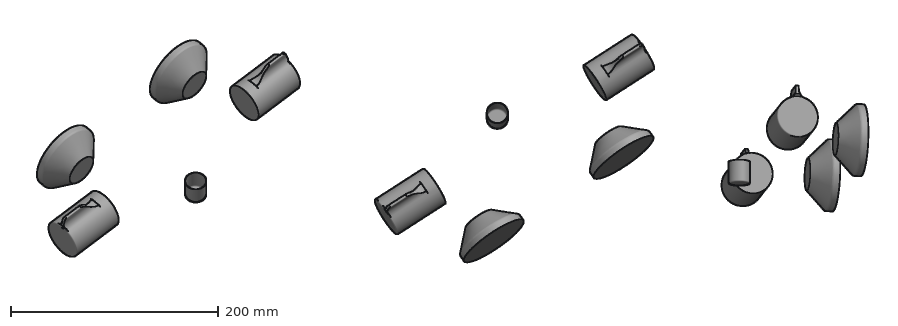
import cadquery as cq
import math

DISC_RADIUS = 35.0
DISC_NOSE_RADIUS = 15.8
DISC_DEPTH = 26.0
DISC_EDGE_ROUND = 2.7
DISC_OFFSET_Y = 75.5
DISC_CONE_START = DISC_DEPTH - (DISC_RADIUS - DISC_NOSE_RADIUS)

HANDLE_RADIUS = 20.18
HANDLE_LENGTH = 56.2
HANDLE_OUTER_Y = 149.5
HANDLE_X = 77.0
HANDLE_Z = 3.3
HANDLE_END_ROUND = 1.2

FIN_TOP_Z = DISC_RADIUS
FIN_HALF_THICKNESS = 1.5
FIN_CREST_ROUND = 1.0
FIN_ROOT_ROUND = 8.0
FIN_INNER_Y = 105.3
FIN_SLOPE_FOOT_Y = 114.5
FIN_SLOPE_FOOT_Z = 26.3
FIN_SLOPE_FOOT_DIRECTION = (1, 0)
FIN_SLOPE_TOP_DIRECTION = (1, 0.5)
FIN_CREST_INNER_Y = 126.0
FIN_CREST_OUTER_Y = 144.5
FIN_SHOULDER_Y = 148.0
FIN_SHOULDER_Z = 31.7
FIN_HEEL_Z = 25.7
FIN_OUTER_ROOT_Y = HANDLE_OUTER_Y - HANDLE_END_ROUND
FIN_BOTTOM_Z = HANDLE_Z + HANDLE_RADIUS / 2

CUP_RADIUS = 10.5
CUP_X = 106.8
CUP_TOP_Z = -8.7
CUP_HEIGHT = 21.5
CUP_WALL = 0.45
CUP_OUTER_ROUND = 1.2
CUP_INNER_ROUND = 1.5


def make_disc(center_y):
    """Short cylinder that narrows in a cone toward +X, with a rounded rim between them."""
    disc = (
        cq.Workplane("XY")
        .polyline([
            (0, 0),
            (0, DISC_RADIUS),
            (DISC_CONE_START, DISC_RADIUS),
            (DISC_DEPTH, DISC_NOSE_RADIUS),
            (DISC_DEPTH, 0),
        ])
        .close()
        .revolve(360, (0, 0, 0), (1, 0, 0))
    )
    rim_finder = cq.selectors.NearestToPointSelector((DISC_CONE_START, 0, 0))
    rim = disc.edges("%CIRCLE").edges(rim_finder)
    return rim.fillet(DISC_EDGE_ROUND).translate((0, center_y, 0)).val()


def make_fin():
    """Fin whose flanks sweep tangentially into the cylinder, cut to its side profile."""
    arc_x = FIN_HALF_THICKNESS + FIN_ROOT_ROUND
    arc_z = math.sqrt((HANDLE_RADIUS + FIN_ROOT_ROUND) ** 2 - arc_x ** 2)
    touch_ratio = HANDLE_RADIUS / (HANDLE_RADIUS + FIN_ROOT_ROUND)
    root_x = arc_x * touch_ratio
    root_z = HANDLE_Z + arc_z * touch_ratio
    flank_z = HANDLE_Z + arc_z
    half_angle = math.atan2(arc_z, arc_x) / 2
    mid_x = arc_x - FIN_ROOT_ROUND * math.cos(half_angle)
    mid_z = flank_z - FIN_ROOT_ROUND * math.sin(half_angle)

    section = (
        cq.Workplane("XZ", origin=(HANDLE_X, HANDLE_OUTER_Y, 0))
        .moveTo(-root_x, FIN_BOTTOM_Z)
        .lineTo(-root_x, root_z)
        .threePointArc((-mid_x, mid_z), (-FIN_HALF_THICKNESS, flank_z))
        .lineTo(-FIN_HALF_THICKNESS, FIN_TOP_Z)
        .lineTo(FIN_HALF_THICKNESS, FIN_TOP_Z)
        .lineTo(FIN_HALF_THICKNESS, flank_z)
        .threePointArc((mid_x, mid_z), (root_x, root_z))
        .lineTo(root_x, FIN_BOTTOM_Z)
        .close()
        .extrude(HANDLE_LENGTH)
        .faces(">Z")
        .edges("|Y")
        .fillet(FIN_CREST_ROUND)
    )
    profile = (
        cq.Workplane("YZ", origin=(HANDLE_X, 0, 0))
        .moveTo(FIN_INNER_Y, FIN_BOTTOM_Z)
        .lineTo(FIN_INNER_Y, HANDLE_Z + HANDLE_RADIUS)
        .spline(
            [(FIN_SLOPE_FOOT_Y, FIN_SLOPE_FOOT_Z), (FIN_CREST_INNER_Y, FIN_TOP_Z)],
            tangents=[FIN_SLOPE_FOOT_DIRECTION, FIN_SLOPE_TOP_DIRECTION],
            includeCurrent=True,
        )
        .lineTo(FIN_CREST_OUTER_Y, FIN_TOP_Z)
        .tangentArcPoint((FIN_SHOULDER_Y, FIN_SHOULDER_Z), relative=False)
        .lineTo(HANDLE_OUTER_Y, FIN_HEEL_Z)
        .lineTo(FIN_OUTER_ROOT_Y, HANDLE_Z + HANDLE_RADIUS)
        .lineTo(FIN_OUTER_ROOT_Y, FIN_BOTTOM_Z)
        .close()
        .extrude(HANDLE_RADIUS, both=True)
    )
    return section.intersect(profile)


def make_handle():
    """Handle on the +Y side: cylinder and fin, with the cylinder's outer end edge rounded."""
    barrel = (
        cq.Workplane("XZ", origin=(HANDLE_X, HANDLE_OUTER_Y, HANDLE_Z))
        .circle(HANDLE_RADIUS)
        .extrude(HANDLE_LENGTH)
        .faces(">Y")
        .edges()
        .fillet(HANDLE_END_ROUND)
    )
    return barrel.union(make_fin())


def make_cup():
    """Thin-walled round cup with a rounded bottom edge inside and outside."""
    inner_radius = CUP_RADIUS - CUP_WALL
    shell = (
        cq.Workplane("XY", origin=(CUP_X, 0, CUP_TOP_Z))
        .circle(CUP_RADIUS)
        .extrude(-CUP_HEIGHT)
        .faces("<Z")
        .edges()
        .fillet(CUP_OUTER_ROUND)
    )
    cavity = (
        cq.Workplane("XY", origin=(CUP_X, 0, CUP_TOP_Z))
        .circle(inner_radius)
        .extrude(-(CUP_HEIGHT - CUP_WALL))
        .faces("<Z")
        .edges()
        .fillet(CUP_INNER_ROUND)
    )
    return shell.cut(cavity).val()


discs = [make_disc(side * DISC_OFFSET_Y) for side in (-1, 1)]
back_handle = make_handle()
front_handle = back_handle.mirror("XZ")
cup = make_cup()

result = cq.Compound.makeCompound([*discs, back_handle.val(), front_handle.val(), cup])